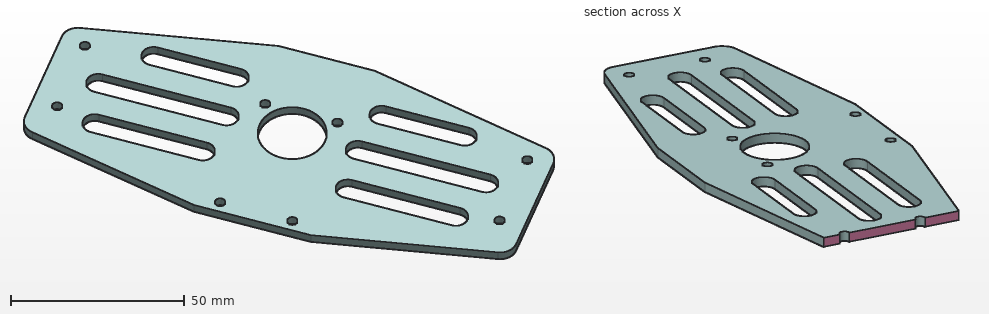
import cadquery as cq

length = 150.0
thickness = 3.0
back_y = 30.5
front_y = -35.4
back_edge_length = 29.4
front_edge_length = 35.7
end_back_y = 17.5
end_front_y = -23.2
corner_radius = 5.0

bore_diameter = 20.0
small_hole_diameter = 3.0
end_hole_x = 67.5
end_hole_y = 12.3
inner_hole_spacing = 22.0
inner_hole_back_y = 8.1
inner_hole_front_y = -32.0

slot_width = 7.0
slot_pitch = 15.0
slot_rows = [
    (slot_pitch, 18.6, 51.0),
    (0.0, 16.5, 62.7),
    (-slot_pitch, 18.6, 58.6),
]


def make_plate():
    """Eight-sided plate with rounded corners at its two ends."""
    right_side = [
        (front_edge_length / 2, front_y),
        (length / 2, end_front_y),
        (length / 2, end_back_y),
        (back_edge_length / 2, back_y),
    ]
    left_side = [(-x, y) for x, y in reversed(right_side)]
    plate = cq.Workplane("XY").polyline(right_side + left_side).close().extrude(thickness)
    for end in ("<X", ">X"):
        plate = plate.faces(end).edges("|Z").fillet(corner_radius)
    return plate


def make_holes():
    """Main bore and the eight small mounting holes."""
    bore = cq.Workplane("XY").circle(bore_diameter / 2).extrude(thickness)
    centres = []
    for side in (-1, 1):
        centres += [
            (side * end_hole_x, end_hole_y),
            (side * end_hole_x, -end_hole_y),
            (side * inner_hole_spacing / 2, inner_hole_back_y),
            (side * inner_hole_spacing / 2, inner_hole_front_y),
        ]
    small_holes = cq.Workplane("XY").pushPoints(centres).circle(small_hole_diameter / 2)
    return bore.union(small_holes.extrude(thickness))


def make_slot_row(y, inner_tip, outer_tip):
    """Mirrored pair of round-ended slots."""
    middle = (inner_tip + outer_tip) / 2
    slots = cq.Workplane("XY").pushPoints([(-middle, y), (middle, y)])
    return slots.slot2D(outer_tip - inner_tip, slot_width).extrude(thickness)


result = make_plate().cut(make_holes())
for row_y, row_inner_tip, row_outer_tip in slot_rows:
    result = result.cut(make_slot_row(row_y, row_inner_tip, row_outer_tip))